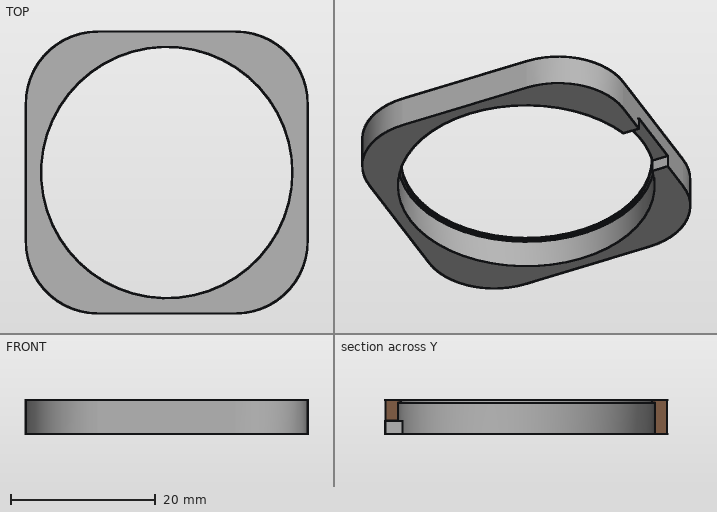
import cadquery as cq

side = 39.0
height = 4.7
corner_radius = 10.0

lip_diameter = 34.7
bore_diameter = 35.5
lip_height = 0.4

notch_width = 9.2
notch_height = 1.85
notch_center_y = 0.0


def make_frame():
    plate = cq.Workplane("XY").rect(side, side).extrude(height)
    return plate.edges("|Z").fillet(corner_radius)


def make_opening():
    lip = cq.Workplane("XY").circle(lip_diameter / 2).extrude(height)
    bore = cq.Workplane("XY").circle(bore_diameter / 2).extrude(height - lip_height)
    return lip.union(bore)


def make_notch():
    return (
        cq.Workplane("XY")
        .center(-side / 4, notch_center_y)
        .rect(side / 2, notch_width)
        .extrude(notch_height)
    )


result = make_frame().cut(make_opening()).cut(make_notch())